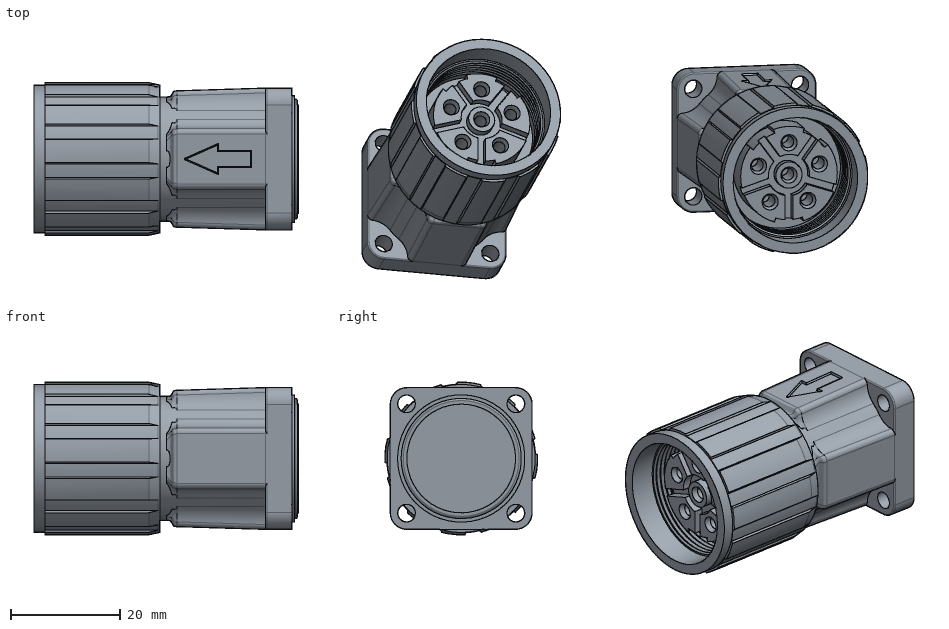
import cadquery as cq
import math


cut_overrun = 0.1

nut_length = 23.1
nut_radius = 14.0
nut_collar_length = 2.05
nut_collar_radius = 13.55
nut_taper_start = 21.05
nut_taper_end_radius = 13.55
groove_count = 12
groove_floor_radius = 13.63
groove_floor_angle = 10.5
groove_mouth_angle = 13.0
groove_first_angle = 21.0
groove_spacing = 360 / groove_count

nut_bore_radius = 11.65
nut_bore_depth = 4.9
thread_minor_radius = 11.0
thread_major_radius = 11.35
thread_lead_in = thread_major_radius - thread_minor_radius
thread_pitch = 1.0
thread_turns = 5

neck_radius = 11.4
housing_front = 12.0
flange_front = 42.4
flange_rear = 47.25
flange_half = 13.0
flange_corner_radius = 3.1
flange_edge_radius = 0.25
flange_hole_radius = 1.6
flange_hole_offset = 10.0
rear_step_radius = 11.65
rear_step_length = 0.5
rear_boss_radius = 11.0
rear_boss_end = 48.27
rear_boss_rounding = 0.4
rear_tip_radius = 9.95
rear_tip_end = 48.5

pad_count = 4
pad_spacing = 360 / pad_count
pad_nose = 24.3
pad_brow = 25.2
pad_bend = 25.5
pad_front = 26.2
pad_front_height = 12.5

arrow_tip = 27.6
arrow_barb = 33.8
arrow_tail = 39.9
arrow_barb_half = 2.85
arrow_shaft_half = 1.55
arrow_tip_half = 0.2
arrow_depth = 0.3
arrow_wall_taper = 35

insert_front = 5.6
insert_rear = 30.0
insert_radius = 9.05
key_notch_radius = 8.3
key_notch_angles = (54, 126, 270)
key_notch_span = 35
hub_radius = 2.45
hub_groove_radius = 3.85
face_groove_depth = 1.7
spoke_groove_width = 1.46
contact_count = 5
contact_circle_radius = 6.0
contact_hole_radius = 1.1
contact_mouth_radius = 1.5
contact_mouth_depth = 1.0
contact_hole_depth = 6.0
contact_spacing = 360 / contact_count
contact_first_angle = 90


def section_plane(x):
    """Plane across the connector axis; local x points to -Y and local y to +Z, as seen from the front."""
    return cq.Workplane(cq.Plane(origin=(x, 0, 0), xDir=(0, -1, 0), normal=(-1, 0, 0)))


def polar(radius, degrees):
    angle = math.radians(degrees)
    return (radius * math.cos(angle), radius * math.sin(angle))


def disc(radius, start, end):
    return section_plane(start).circle(radius).extrude(start - end)


def spin(profile):
    """Turn a closed (x, radius) profile around the connector axis."""
    return cq.Workplane("XY").polyline(profile).close().revolve(360, (0, 0, 0), (1, 0, 0))


def ring_sector(inner_radius, outer_radius, middle, inner_span, outer_span, start, end):
    """Part of a ring around the axis, with its own angular span at each radius."""
    return (
        section_plane(start)
        .moveTo(*polar(inner_radius, middle - inner_span / 2))
        .threePointArc(polar(inner_radius, middle), polar(inner_radius, middle + inner_span / 2))
        .lineTo(*polar(outer_radius, middle + outer_span / 2))
        .threePointArc(polar(outer_radius, middle), polar(outer_radius, middle - outer_span / 2))
        .close()
        .extrude(start - end)
    )


def make_nut():
    nut = spin([
        (0, 0),
        (0, nut_collar_radius),
        (nut_collar_length, nut_collar_radius),
        (nut_collar_length, nut_radius),
        (nut_taper_start, nut_radius),
        (nut_length, nut_taper_end_radius),
        (nut_length, 0),
    ])
    for i in range(groove_count):
        angle = groove_first_angle + i * groove_spacing
        nut = nut.cut(ring_sector(
            groove_floor_radius, nut_radius + cut_overrun, angle, groove_floor_angle, groove_mouth_angle,
            nut_collar_length, nut_length,
        ))
    return nut.cut(nut_cavity())


def nut_cavity():
    """Plain front bore, threaded middle and rear seat for the neck of the housing."""
    thread_start = nut_bore_depth + thread_lead_in
    profile = [
        (0, 0),
        (0, nut_bore_radius),
        (nut_bore_depth, nut_bore_radius),
        (nut_bore_depth, thread_major_radius),
        (thread_start, thread_minor_radius),
    ]
    for i in range(thread_turns):
        turn_start = thread_start + i * thread_pitch
        profile.append((turn_start + thread_pitch / 2, thread_major_radius))
        profile.append((turn_start + thread_pitch, thread_minor_radius))
    profile += [
        (housing_front, thread_minor_radius),
        (housing_front, neck_radius),
        (nut_length, neck_radius),
        (nut_length, 0),
    ]
    return spin(profile)


def pad_section(sketch, top, crest_half, shoulder_half, shoulder_drop, foot_half):
    """Cross-section of one pad: flat crest, rounded shoulders, hollow flanks flaring into the neck."""
    foot_height = math.sqrt(neck_radius**2 - foot_half**2)
    shoulder_height = top - shoulder_drop
    shoulder_middle = (
        crest_half + (shoulder_half - crest_half) * math.sin(math.pi / 4),
        shoulder_height + shoulder_drop * math.sin(math.pi / 4),
    )
    flank_middle = hollow_middle(foot_half, foot_height, shoulder_half, shoulder_height)
    return (
        sketch
        .moveTo(foot_half, foot_height)
        .threePointArc(flank_middle, (shoulder_half, shoulder_height))
        .threePointArc(shoulder_middle, (crest_half, top))
        .lineTo(-crest_half, top)
        .threePointArc(mirrored(shoulder_middle), (-shoulder_half, shoulder_height))
        .threePointArc(mirrored(flank_middle), (-foot_half, foot_height))
        .close()
    )


def mirrored(point):
    return (-point[0], point[1])


def hollow_middle(foot_half, foot_height, shoulder_half, shoulder_height):
    """Middle of the flank arc that leaves the neck surface along its tangent."""
    run = shoulder_half - foot_half
    rise = shoulder_height - foot_height
    turn = math.atan2(rise, -run) - math.atan2(foot_half, foot_height)
    sag = math.tan(turn / 2) / 2
    return (foot_half + run / 2 - rise * sag, foot_height + rise / 2 + run * sag)


def make_pad():
    """Drafted pad whose front end bends over a rounded brow and dies into the neck at its nose."""
    flank = dict(crest_half=4.55, shoulder_half=5.55, shoulder_drop=0.9, foot_half=7.2)
    front_section = dict(top=pad_front_height, **flank)
    rear_section = dict(top=flange_half, **flank)
    nose = [
        (pad_nose, dict(top=11.3, crest_half=3.3, shoulder_half=4.1, shoulder_drop=0.4, foot_half=4.55)),
        (pad_brow, dict(top=11.6, crest_half=4.3, shoulder_half=5.0, shoulder_drop=0.7, foot_half=6.4)),
        (pad_bend, dict(top=12.2, crest_half=4.4, shoulder_half=5.3, shoulder_drop=0.8, foot_half=6.7)),
        (pad_front, front_section),
    ]
    drafted = [(pad_front, front_section), (flange_front, rear_section)]
    flange_joint = [(flange_front, rear_section), (flange_front + flange_edge_radius, rear_section)]
    pad = loft_sections(nose, ruled=False)
    pad = pad.union(loft_sections(drafted, ruled=True))
    return pad.union(loft_sections(flange_joint, ruled=True))


def loft_sections(stations, ruled):
    """Loft one pad through its cross-sections, given as (x, section sizes)."""
    previous = stations[0][0]
    sketch = section_plane(previous)
    for x, sizes in stations:
        sketch = pad_section(sketch.workplane(offset=previous - x), **sizes)
        previous = x
    return sketch.loft(ruled=ruled)


def make_flange():
    flange = (
        section_plane(flange_front)
        .rect(2 * flange_half, 2 * flange_half)
        .extrude(flange_front - flange_rear)
        .edges("|X").fillet(flange_corner_radius)
        .faces("<X").edges().fillet(flange_edge_radius)
    )
    holes = (
        section_plane(flange_front)
        .rect(2 * flange_hole_offset, 2 * flange_hole_offset, forConstruction=True)
        .vertices()
        .circle(flange_hole_radius)
        .extrude(flange_front - flange_rear)
    )
    return flange.cut(holes)


def make_arrow():
    """Sloping-walled cutter for the arrow, lying on the drafted crest of the top pad."""
    slope = math.atan2(flange_half - pad_front_height, flange_front - pad_front)
    face = cq.Plane(
        origin=(pad_front, 0, pad_front_height),
        xDir=(math.cos(slope), 0, math.sin(slope)),
        normal=(-math.sin(slope), 0, math.cos(slope)),
    )
    tip = arrow_tip - pad_front
    barb = arrow_barb - pad_front
    tail = arrow_tail - pad_front
    return (
        cq.Workplane(face)
        .moveTo(tip + arrow_tip_half, arrow_tip_half)
        .lineTo(barb, arrow_barb_half)
        .lineTo(barb, arrow_shaft_half)
        .lineTo(tail, arrow_shaft_half)
        .lineTo(tail, -arrow_shaft_half)
        .lineTo(barb, -arrow_shaft_half)
        .lineTo(barb, -arrow_barb_half)
        .lineTo(tip + arrow_tip_half, -arrow_tip_half)
        .threePointArc((tip, 0), (tip + arrow_tip_half, arrow_tip_half))
        .close()
        .extrude(-arrow_depth, taper=arrow_wall_taper)
    )


def make_housing():
    housing = disc(neck_radius, housing_front, flange_rear)
    pad = make_pad()
    for i in range(pad_count):
        housing = housing.union(pad.rotate((0, 0, 0), (1, 0, 0), i * pad_spacing))
    rear_boss = disc(rear_boss_radius, flange_rear, rear_boss_end)
    rear_boss = rear_boss.faces(">X").edges().fillet(rear_boss_rounding)
    return (
        housing
        .union(make_flange())
        .union(disc(rear_step_radius, flange_rear, flange_rear + rear_step_length))
        .union(rear_boss)
        .union(disc(rear_tip_radius, rear_boss_end, rear_tip_end))
        .cut(make_arrow())
        .cut(make_insert_blank())
    )


def make_insert_blank():
    """Round bar with three key notches along it; the housing seat has the same outline."""
    blank = disc(insert_radius, insert_front, insert_rear)
    for angle in key_notch_angles:
        blank = blank.cut(ring_sector(
            key_notch_radius, insert_radius + cut_overrun, angle, key_notch_span, key_notch_span,
            insert_front, insert_rear,
        ))
    return blank


def make_insert():
    insert = make_insert_blank()
    groove_floor = insert_front + face_groove_depth
    hub = disc(hub_radius, insert_front, groove_floor)
    insert = insert.cut(disc(hub_groove_radius, insert_front, groove_floor).cut(hub))
    spoke_inner_end = (hub_radius + hub_groove_radius) / 2
    spoke = (
        section_plane(insert_front)
        .center((spoke_inner_end + insert_radius) / 2, 0)
        .rect(insert_radius - spoke_inner_end, spoke_groove_width)
        .extrude(-face_groove_depth)
    )
    insert = insert.cut(contact_socket(0, 0))
    for i in range(contact_count):
        angle = contact_first_angle + i * contact_spacing
        insert = insert.cut(contact_socket(*polar(contact_circle_radius, angle)))
        spoke_angle = angle + contact_spacing / 2
        insert = insert.cut(spoke.rotate((0, 0, 0), (-1, 0, 0), spoke_angle))
    return insert


def contact_socket(side, height):
    """Cutter for a blind contact hole with a conical mouth; side is measured toward -Y."""
    socket = spin([
        (insert_front, 0),
        (insert_front, contact_mouth_radius),
        (insert_front + contact_mouth_depth, contact_hole_radius),
        (insert_front + contact_hole_depth, contact_hole_radius),
        (insert_front + contact_hole_depth, 0),
    ])
    return socket.translate((0, -side, height))


nut = make_nut()
housing = make_housing()
insert = make_insert()

result = cq.Compound.makeCompound([nut.solids().val(), housing.solids().val(), insert.solids().val()])